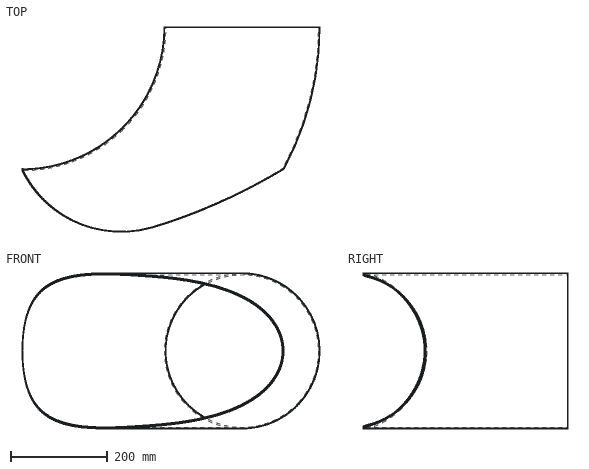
import cadquery as cq

outer_bend_radius = 619.0
pipe_diameter = 324.0
wall = 3.0
bend_angle = 90.0

pipe_radius = pipe_diameter / 2
bend_radius = outer_bend_radius - pipe_radius
inner_bend_radius = bend_radius - pipe_radius

saddle_axis_y = -bend_radius

lip_join_x = 272.0

lip_join_y = lip_join_x**2 / (4 * bend_radius) - bend_radius
lip_join_slope = lip_join_x / (2 * bend_radius)


def bend_solid():
    """Quarter torus with the pipe's outer radius, filled."""
    return (
        cq.Workplane("XZ")
        .center(bend_radius, 0)
        .circle(pipe_radius)
        .revolve(bend_angle, (-bend_radius, 0), (-bend_radius, -1))
    )


def saddle_cutter():
    """Straight cylinder along X, from the lip to beyond the outside of the bend."""
    return (
        cq.Workplane("YZ", origin=(lip_join_x, saddle_axis_y, 0))
        .circle(pipe_radius)
        .extrude(outer_bend_radius)
    )


def lip_cutter():
    """Prism along Z holding everything outside the lip arc."""
    tip = cq.Vector(0, -inner_bend_radius)
    join = cq.Vector(lip_join_x, lip_join_y)
    join_direction = cq.Vector(-1, -lip_join_slope)
    lip_arc = cq.Edge.makeTangentArc(join, join_direction, tip)
    arc_middle = lip_arc.positionAt(0.5)
    return (
        cq.Workplane("XY")
        .moveTo(tip.x, -outer_bend_radius)
        .lineTo(join.x, -outer_bend_radius)
        .lineTo(join.x, join.y)
        .threePointArc((arc_middle.x, arc_middle.y), (tip.x, tip.y))
        .close()
        .extrude(pipe_diameter, both=True)
    )


trimmed_bend = bend_solid().cut(saddle_cutter()).cut(lip_cutter())
outer_skin = trimmed_bend.faces("%TORUS").val()
result = cq.Workplane(outer_skin.thicken(-wall))